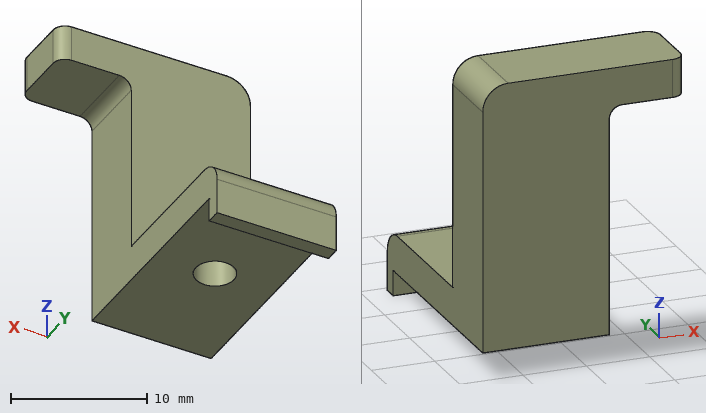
import cadquery as cq

width = 10.0
arm_reach = 16.0
depth = 19.06
column_depth = 6.0
plate_thickness = 3.0
lip_drop = 2.0
lip_thickness = 1.2
total_height = 23.0
outer_radius = 2.0
small_radius = 1.0
hole_diameter = 3.2
hole_y = 9.66

column_height = total_height - lip_drop
arm_underside = column_height - plate_thickness


def make_foot():
    """Foot plate with a downward lip at its rear edge and a rounded bend."""
    profile = (
        cq.Workplane("YZ")
        .moveTo(0, 0)
        .lineTo(depth - lip_thickness, 0)
        .lineTo(depth - lip_thickness, -lip_drop)
        .lineTo(depth, -lip_drop)
        .lineTo(depth, plate_thickness)
        .lineTo(0, plate_thickness)
        .close()
    )
    return profile.extrude(width).edges(">Y and >Z").fillet(outer_radius)


def make_column():
    """Upright column with an arm reaching out along +X at its top."""
    upright = cq.Workplane("XY").box(width, column_depth, column_height, centered=False)
    arm = (
        cq.Workplane("XY", origin=(0, 0, arm_underside))
        .box(arm_reach, column_depth, plate_thickness, centered=False)
    )
    column = upright.union(arm)
    column = column.edges("<X and >Z").fillet(outer_radius)
    arm_root = cq.selectors.NearestToPointSelector((width, column_depth / 2, arm_underside))
    column = column.edges(arm_root).fillet(small_radius)
    return column.edges("|Z and >X").fillet(small_radius)


def make_hole():
    """Cutter for the screw hole straight through the foot plate."""
    return (
        cq.Workplane("XY")
        .center(width / 2, hole_y)
        .circle(hole_diameter / 2)
        .extrude(plate_thickness)
    )


result = make_foot().union(make_column()).cut(make_hole())